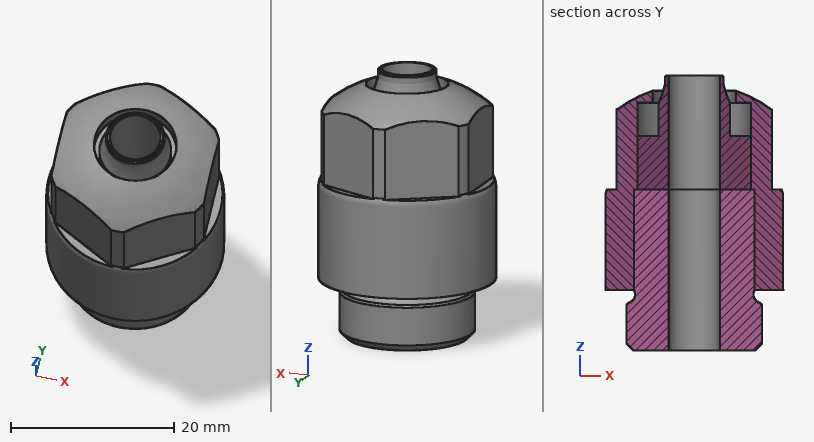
import cadquery as cq
import math

total_height = 33.7
bore_radius = 6.2 / 2

thread_radius = 16.65 / 2
thread_lead_in = 0.88
thread_chamfer = 0.27
groove_land_radius = 16.0 / 2
groove_radius = 1.0
groove_floor_radius = 7.28
groove_center_z = 6.87
groove_center_r = groove_floor_radius + groove_radius

nut_bottom_z = 7.4
nut_radius = 21.8 / 2
rounding_start_z = 18.95
rounding_radius = 1.55
hex_bottom_z = 19.75
hex_across_flats = 19.07
hex_corner_radius = 10.58
dome_corner_z = 28.6
dome_mid_radius = 8.2
dome_mid_z = 30.4
nut_top_z = 31.85
mouth_radius = 10.1 / 2
lip_bottom_z = 30.33
chamber_radius = 13.85 / 2
cutter_margin = 0.35

tube_seat_z = hex_bottom_z
collar_top_z = 26.3
flare_base_z = 30.33
flare_base_radius = 8.8 / 2
flare_top_z = 32.65
tube_radius = 7.2 / 2
tube_chamfer = 0.2
flare_hollow = 0.07

groove_bottom_z = groove_center_z - math.sqrt(groove_radius**2 - (groove_center_r - groove_land_radius)**2)
neck_radius = groove_center_r - math.sqrt(groove_radius**2 - (nut_bottom_z - groove_center_z)**2)
rounding_inset = nut_radius - hex_corner_radius
rounding_height = math.sqrt(rounding_radius**2 - (rounding_radius - rounding_inset)**2)
rounding_end_z = rounding_start_z + rounding_height

flare_mid_radius = (tube_radius + flare_base_radius) / 2 - flare_hollow
flare_mid_z = (flare_top_z + flare_base_z) / 2


def revolve_about_z(profile):
    """Turn a closed (radius, height) profile around the Z axis."""
    return profile.revolve(360, (0, 0, 0), (0, 1, 0))


def make_threaded_body():
    """Thread cylinder with a groove and a spigot that fills the nut's lower bore."""
    profile = (
        cq.Workplane("XZ")
        .moveTo(bore_radius, 0)
        .lineTo(thread_radius - thread_lead_in, 0)
        .lineTo(thread_radius, thread_lead_in)
        .lineTo(thread_radius, groove_bottom_z - thread_chamfer)
        .lineTo(groove_land_radius, groove_bottom_z)
        .threePointArc((groove_floor_radius, groove_center_z), (neck_radius, nut_bottom_z))
        .lineTo(neck_radius, tube_seat_z)
        .lineTo(bore_radius, tube_seat_z)
        .close()
    )
    return revolve_about_z(profile)


def make_cap_nut():
    """Domed nut with a round skirt, six flats and a stepped bore."""
    profile = (
        cq.Workplane("XZ")
        .moveTo(neck_radius, nut_bottom_z)
        .lineTo(nut_radius, nut_bottom_z)
        .lineTo(nut_radius, rounding_start_z)
        .tangentArcPoint((hex_corner_radius, rounding_end_z), relative=False)
        .lineTo(hex_corner_radius, dome_corner_z)
        .threePointArc((dome_mid_radius, dome_mid_z), (mouth_radius, nut_top_z))
        .lineTo(mouth_radius, lip_bottom_z)
        .lineTo(chamber_radius, lip_bottom_z)
        .lineTo(chamber_radius, tube_seat_z)
        .lineTo(neck_radius, tube_seat_z)
        .close()
    )
    blank = revolve_about_z(profile)

    hex_corner_diameter = hex_across_flats / math.cos(math.pi / 6)
    flat_cutter = (
        cq.Workplane("XY", origin=(0, 0, hex_bottom_z))
        .circle(nut_radius + cutter_margin)
        .extrude(nut_top_z - hex_bottom_z)
        .cut(
            cq.Workplane("XY", origin=(0, 0, hex_bottom_z))
            .transformed(rotate=(0, 0, 30))
            .polygon(6, hex_corner_diameter)
            .extrude(nut_top_z - hex_bottom_z)
        )
    )
    return blank.cut(flat_cutter)


def make_tube():
    """Tube with a collar that fills the lower chamber and a flare narrowing to its upper end."""
    profile = (
        cq.Workplane("XZ")
        .moveTo(bore_radius, total_height)
        .lineTo(tube_radius - tube_chamfer, total_height)
        .lineTo(tube_radius, total_height - tube_chamfer)
        .lineTo(tube_radius, flare_top_z)
        .threePointArc((flare_mid_radius, flare_mid_z), (flare_base_radius, flare_base_z))
        .lineTo(flare_base_radius, collar_top_z)
        .lineTo(chamber_radius, collar_top_z)
        .lineTo(chamber_radius, tube_seat_z)
        .lineTo(bore_radius, tube_seat_z)
        .close()
    )
    return revolve_about_z(profile)


threaded_body = make_threaded_body()
cap_nut = make_cap_nut()
tube = make_tube()

result = cq.Compound.makeCompound([threaded_body.val(), cap_nut.val(), tube.val()])